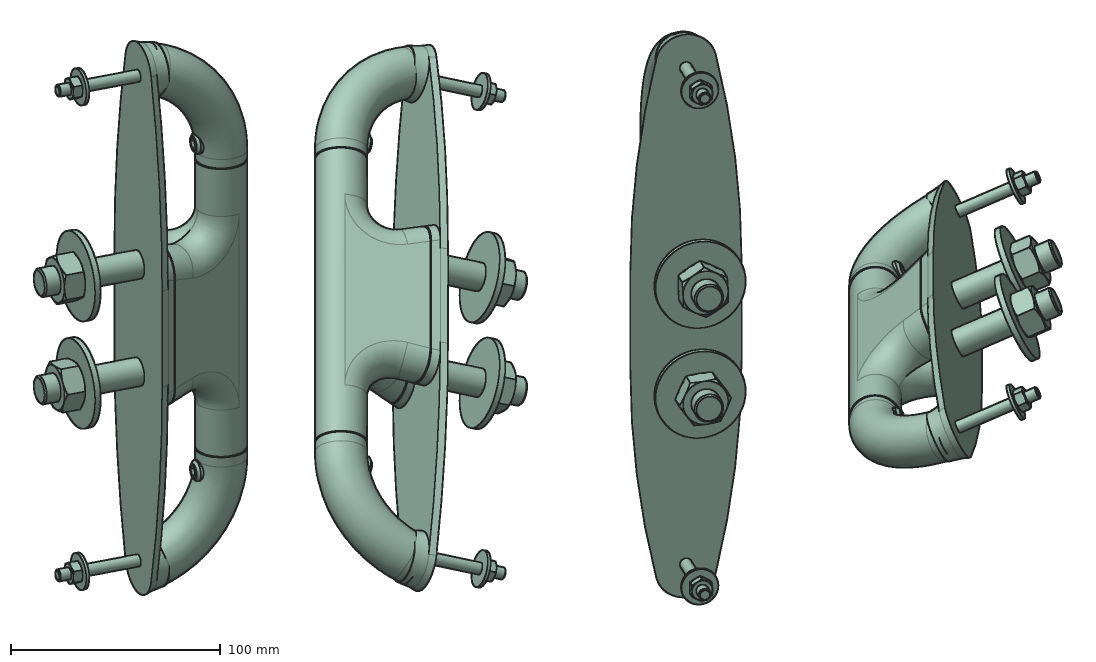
import cadquery as cq
import math


TOTAL_HEIGHT = 108.0
HANDLE_HEIGHT = 56.0
TUBE_RADIUS = 12.5
AXIS_HEIGHT = HANDLE_HEIGHT - TUBE_RADIUS

PLATE_LENGTH = 286.84
PLATE_WIDTH = 54.38
PLATE_THICKNESS = 3.6
PLATE_STRAIGHT_HALF = 25.0
TIP_RADIUS = 15.0

LEG_TILT = math.atan(PLATE_WIDTH / 2 / AXIS_HEIGHT) - math.asin(
    TUBE_RADIUS / math.hypot(PLATE_WIDTH / 2, AXIS_HEIGHT)
)
EDGE_DRAFT = math.degrees(LEG_TILT)

LEG_START = 50.5
LEG_BEND_RADIUS = 25.0
LEG_BEND_ANGLE = math.radians(102)
LEG_OVERRUN = 30.0
BASE_SEAM_HEIGHT = 7.9
SEAM_WIDTH = 0.4
SEAM_DEPTH = 0.3

ELBOW_START = 80.2
ELBOW_BEND_RADIUS = 50.3
ELBOW_BEND_ANGLE = math.radians(71)
ELBOW_OVERRUN = 6.0
FOOT_HEIGHT = 10.5
FOOT_DRAFT = 10.0
ELBOW_JOINT = 75.2

SCREW_Z = 85.5
SCREW_HEAD_DIAMETER = 10.75
SCREW_HEAD_Y = 28.9
SCREW_HEAD_CHAMFER = 1.5
SCREW_SOCKET_CORNERS = 6.25
SCREW_SOCKET_DEPTH = 1.8

HEX_SIDES = 6
WASHER_FACE = -29.8
LARGE = dict(
    z=28.0,
    shank=14.0,
    end=HANDLE_HEIGHT - TOTAL_HEIGHT,
    chamfer=0.8,
    washer=44.0,
    washer_thickness=3.0,
    nut=22.0,
    nut_height=11.0,
)
SMALL = dict(
    z=126.4,
    shank=6.0,
    end=-42.5,
    chamfer=0.6,
    washer=18.0,
    washer_thickness=1.6,
    nut=10.0,
    nut_height=5.0,
)
LARGE_NUT_TURNS = {1: 28.0, -1: -5.0}
SMALL_NUT_TURN = 30.0
NUT_CHAMFER_ANGLE = math.radians(30)


def clip_at_plate(body):
    """Remove everything lower than the top face of the plate."""
    size = 2 * PLATE_LENGTH
    below = cq.Workplane("XZ", origin=(0, PLATE_THICKNESS, 0)).rect(size, size).extrude(size)
    return body.cut(below)


def plane_facing_y(y, z):
    return cq.Plane(origin=(0, y, z), xDir=(1, 0, 0), normal=(0, 1, 0))


def plane_across_bar(z):
    return cq.Plane(origin=(0, AXIS_HEIGHT, z), xDir=(1, 0, 0), normal=(0, 0, 1))


def rod(diameter, y_start, y_end, z):
    """Round bar along Y."""
    return cq.Workplane(plane_facing_y(y_start, z)).circle(diameter / 2).extrude(y_end - y_start)


def base_plate():
    """Long plate with curved sides, rounded tips and drafted edges."""
    tip_z = PLATE_LENGTH / 2 - TIP_RADIUS
    half_width = PLATE_WIDTH / 2
    inset = half_width - TIP_RADIUS
    run = tip_z - PLATE_STRAIGHT_HALF
    side_radius = (run**2 + inset**2) / (2 * inset) + TIP_RADIUS
    end_angle = math.asin(run / (side_radius - TIP_RADIUS))

    def side_point(angle, sx, sz):
        x = half_width - side_radius * (1 - math.cos(angle))
        z = PLATE_STRAIGHT_HALF + side_radius * math.sin(angle)
        return (sx * x, sz * z)

    outline = (
        cq.Workplane(plane_facing_y(0, 0))
        .moveTo(half_width, -PLATE_STRAIGHT_HALF)
        .lineTo(half_width, PLATE_STRAIGHT_HALF)
        .threePointArc(side_point(end_angle / 2, 1, 1), side_point(end_angle, 1, 1))
        .threePointArc((0, PLATE_LENGTH / 2), side_point(end_angle, -1, 1))
        .threePointArc(side_point(end_angle / 2, -1, 1), (-half_width, PLATE_STRAIGHT_HALF))
        .lineTo(-half_width, -PLATE_STRAIGHT_HALF)
        .threePointArc(side_point(end_angle / 2, -1, -1), side_point(end_angle, -1, -1))
        .threePointArc((0, -PLATE_LENGTH / 2), side_point(end_angle, 1, -1))
        .threePointArc(side_point(end_angle / 2, 1, -1), (half_width, -PLATE_STRAIGHT_HALF))
        .close()
    )
    return outline.extrude(PLATE_THICKNESS, taper=EDGE_DRAFT)


def leg_plane(side):
    """Plane of one pair of legs: local x runs down the slope, normal points outward."""
    down = (side * math.sin(LEG_TILT), -math.cos(LEG_TILT), 0)
    outward = (side * math.cos(LEG_TILT), math.sin(LEG_TILT), 0)
    return cq.Plane(origin=(0, AXIS_HEIGHT, 0), xDir=down, normal=outward)


def leg_points(end):
    """Start, middle and end of the leg's bend, then the foot of its centre line."""
    def bend(angle):
        drop = LEG_BEND_RADIUS * (1 - math.cos(angle))
        return (drop, end * (LEG_START - LEG_BEND_RADIUS * math.sin(angle)))

    bend_end = bend(LEG_BEND_ANGLE)
    foot = (
        bend_end[0] + LEG_OVERRUN * math.sin(LEG_BEND_ANGLE),
        bend_end[1] - end * LEG_OVERRUN * math.cos(LEG_BEND_ANGLE),
    )
    return bend(0), bend(LEG_BEND_ANGLE / 2), bend_end, foot


def leg(side, end, radius):
    """Round leg bending from the bar down the slope."""
    start, middle, bend_end, foot = leg_points(end)
    plane = leg_plane(side)
    path = cq.Workplane(plane).moveTo(*start).threePointArc(middle, bend_end).lineTo(*foot)
    profile_plane = cq.Plane(origin=plane.toWorldCoords(start).toTuple(), xDir=(1, 0, 0), normal=(0, 0, 1))
    return cq.Workplane(profile_plane).circle(radius).sweep(path)


def web(side, half_thickness):
    """Flat wall filling the space between the two legs on one side."""
    start_a, middle_a, bend_a, foot_a = leg_points(1)
    start_b, middle_b, bend_b, foot_b = leg_points(-1)
    return (
        cq.Workplane(leg_plane(side))
        .moveTo(*start_a)
        .threePointArc(middle_a, bend_a)
        .lineTo(*foot_a)
        .lineTo(*foot_b)
        .lineTo(*bend_b)
        .threePointArc(middle_b, start_b)
        .close()
        .extrude(half_thickness, both=True)
    )


def leg_block(radius):
    """All four legs with the walls between them."""
    block = web(1, radius).union(web(-1, radius))
    for side in (1, -1):
        for end in (1, -1):
            block = block.union(leg(side, end, radius))
    return block


def base_seam():
    """Shallow groove around the lower end of the leg block."""
    slab = cq.Workplane("XY").box(2 * PLATE_WIDTH, SEAM_WIDTH, 2 * LEG_START)
    return slab.translate((0, BASE_SEAM_HEIGHT, 0)).cut(leg_block(TUBE_RADIUS - SEAM_DEPTH))


def bar():
    """Straight tube between the two elbows."""
    return cq.Workplane(plane_across_bar(0)).circle(TUBE_RADIUS).extrude(ELBOW_START, both=True)


def joint_groove(end):
    """Narrow ring groove where the elbow meets the bar."""
    return (
        cq.Workplane(plane_across_bar(end * ELBOW_JOINT))
        .circle(2 * TUBE_RADIUS)
        .circle(TUBE_RADIUS - SEAM_DEPTH)
        .extrude(SEAM_WIDTH / 2, both=True)
    )


def elbow(end):
    """Tube bending down from the bar and running straight into the foot."""
    def bend(angle):
        y = AXIS_HEIGHT - ELBOW_BEND_RADIUS * (1 - math.cos(angle))
        return (y, end * (ELBOW_START + ELBOW_BEND_RADIUS * math.sin(angle)))

    bend_end = bend(ELBOW_BEND_ANGLE)
    overrun = (
        bend_end[0] - ELBOW_OVERRUN * math.sin(ELBOW_BEND_ANGLE),
        bend_end[1] + end * ELBOW_OVERRUN * math.cos(ELBOW_BEND_ANGLE),
    )
    path = (
        cq.Workplane("YZ")
        .moveTo(*bend(0))
        .threePointArc(bend(ELBOW_BEND_ANGLE / 2), bend_end)
        .lineTo(*overrun)
    )
    return cq.Workplane(plane_across_bar(end * ELBOW_START)).circle(TUBE_RADIUS).sweep(path)


def foot(end):
    """Conical foot, concentric with the rounded tip of the plate."""
    z = end * (PLATE_LENGTH / 2 - TIP_RADIUS)
    bottom_radius = TIP_RADIUS - PLATE_THICKNESS * math.tan(LEG_TILT)
    plane = plane_facing_y(PLATE_THICKNESS, z)
    return cq.Workplane(plane).circle(bottom_radius).extrude(FOOT_HEIGHT - PLATE_THICKNESS, taper=FOOT_DRAFT)


def locking_screw(end):
    """Chamfered head on the inner side of the elbow, and the hexagon socket to cut from it."""
    z = end * SCREW_Z
    head = rod(SCREW_HEAD_DIAMETER, SCREW_HEAD_Y, AXIS_HEIGHT, z).faces("<Y").chamfer(SCREW_HEAD_CHAMFER)
    plane = plane_facing_y(SCREW_HEAD_Y, z)
    return head, cq.Workplane(plane).polygon(HEX_SIDES, SCREW_SOCKET_CORNERS).extrude(SCREW_SOCKET_DEPTH)


def nut(size, y_top, z, turn):
    """Hexagon nut with its corners chamfered on both faces."""
    corner_diameter = size["nut"] / math.cos(math.pi / HEX_SIDES)
    plane = plane_facing_y(y_top - size["nut_height"], z)
    body = cq.Workplane(plane).transformed(rotate=(0, 0, turn)).polygon(HEX_SIDES, corner_diameter)
    body = body.extrude(size["nut_height"])
    chamfer_width = (corner_diameter - size["nut"]) / 2
    envelope = (
        cq.Workplane(plane)
        .circle(corner_diameter / 2)
        .extrude(size["nut_height"])
        .faces("<Y or >Y")
        .chamfer(chamfer_width * math.tan(NUT_CHAMFER_ANGLE), chamfer_width)
    )
    return body.intersect(envelope)


def fastener(size, end, nut_turn):
    """Stud through the mounting surface with its washer and nut."""
    z = end * size["z"]
    nut_face = WASHER_FACE - size["washer_thickness"]
    stud = rod(size["shank"], size["end"], PLATE_THICKNESS, z).faces("<Y").chamfer(size["chamfer"])
    washer = rod(size["washer"], nut_face, WASHER_FACE, z)
    return stud.union(washer).union(nut(size, nut_face, z, nut_turn))


upper = bar().union(leg_block(TUBE_RADIUS)).cut(base_seam())
for end in (1, -1):
    upper = upper.union(elbow(end)).union(foot(end)).cut(joint_groove(end))
    head, socket = locking_screw(end)
    upper = upper.union(head).cut(socket)

result = clip_at_plate(upper).union(base_plate())
for end, large_turn in LARGE_NUT_TURNS.items():
    result = result.union(fastener(LARGE, end, large_turn)).union(fastener(SMALL, end, SMALL_NUT_TURN))